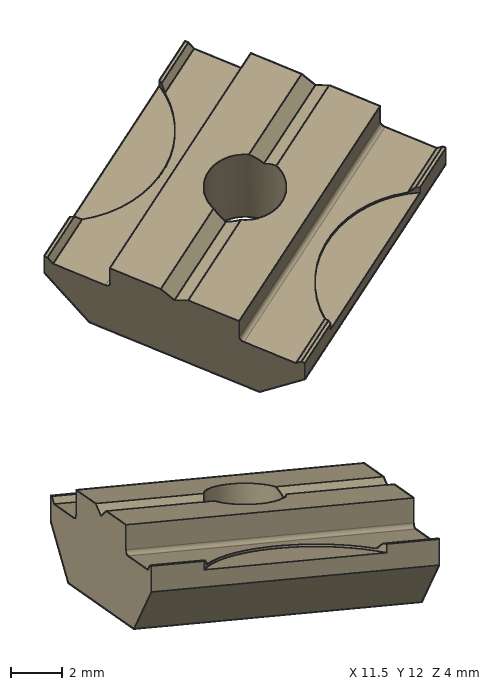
import cadquery as cq
import math

width = 11.5
length = 12.0
height = 4.0

base_width = 7.5
side_bottom_z = (width - base_width) / 2
ledge_z = 2.8
lip_height = 0.25
lip_top_width = 0.15
lip_slope_width = lip_height
boss_width = 5.7
boss_root_radius = 0.2

groove_depth = 0.35
groove_angle = 120.0

hole_diameter = 3.242

relief_radius = 4.5
relief_reach = 2.1
relief_depth = 0.1


def make_body():
    """Extrude the symmetric T-shaped cross-section along Y."""
    half_width = width / 2
    half_boss = boss_width / 2
    lip_top_z = ledge_z + lip_height
    lip_inner_x = half_width - lip_top_width
    half_profile = (
        cq.Workplane("XZ", origin=(0, length / 2, 0))
        .lineTo(base_width / 2, 0)
        .lineTo(half_width, side_bottom_z)
        .lineTo(half_width, lip_top_z)
        .lineTo(lip_inner_x, lip_top_z)
        .lineTo(lip_inner_x - lip_slope_width, ledge_z)
        .lineTo(half_boss + boss_root_radius, ledge_z)
        .radiusArc((half_boss, ledge_z + boss_root_radius), boss_root_radius)
        .lineTo(half_boss, height)
        .lineTo(0, height)
        .close()
    )
    half_body = half_profile.extrude(length)
    return half_body.union(half_body.mirror("YZ"))


def cut_groove(body):
    """Cut the V-groove along the full length of the boss."""
    half_groove = groove_depth * math.tan(math.radians(groove_angle / 2))
    groove = (
        cq.Workplane("XZ", origin=(0, length / 2, 0))
        .moveTo(-half_groove, height)
        .lineTo(0, height - groove_depth)
        .lineTo(half_groove, height)
        .close()
        .extrude(length)
    )
    return body.cut(groove)


def cut_hole(body):
    """Cut the central vertical hole through the part."""
    hole = cq.Workplane("XY").circle(hole_diameter / 2).extrude(height)
    return body.cut(hole)


def cut_reliefs(body):
    """Cut a round relief into each ledge, centred outside the part."""
    relief_floor_z = ledge_z - relief_depth
    center_x = width / 2 - relief_reach + relief_radius
    for side in (-1, 1):
        relief = (
            cq.Workplane("XY", origin=(side * center_x, 0, relief_floor_z))
            .circle(relief_radius)
            .extrude(height - relief_floor_z)
        )
        body = body.cut(relief)
    return body


result = cut_reliefs(cut_hole(cut_groove(make_body())))